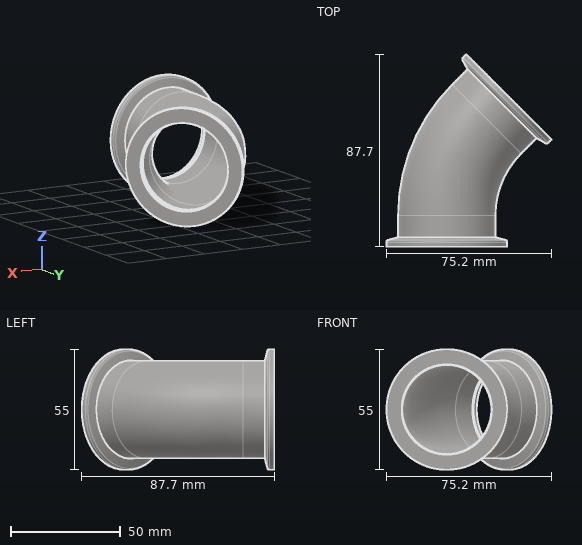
import cadquery as cq
import math

BEND_ANGLE = 45.0
LEG_LENGTH = 40.0
FLANGE_DIAMETER = 55.0
PIPE_OUTER_DIAMETER = 44.5
PIPE_INNER_DIAMETER = 40.5
STRAIGHT_END = 14.3

MOUTH_DIAMETER = 41.2
MOUTH_DEPTH = 2.45
SOCKET_DIAMETER = 44.7
SOCKET_DEPTH = 3.3
FLANGE_HEIGHT = 4.4
BEVEL_ANGLE = 15.0
RIM_FILLET = 1.05

FLANGE_RADIUS = FLANGE_DIAMETER / 2
SOCKET_RADIUS = SOCKET_DIAMETER / 2
MOUTH_RADIUS = MOUTH_DIAMETER / 2
BORE_RADIUS = PIPE_INNER_DIAMETER / 2
BEVEL_DROP = (FLANGE_RADIUS - SOCKET_RADIUS) * math.tan(math.radians(BEVEL_ANGLE))
RIM_HEIGHT = FLANGE_HEIGHT - BEVEL_DROP

TANGENT_LENGTH = LEG_LENGTH - STRAIGHT_END
BEND_RADIUS = TANGENT_LENGTH / math.tan(math.radians(BEND_ANGLE / 2))
PIPE_STRAIGHT = STRAIGHT_END - SOCKET_DEPTH

FACE_CENTERS = [
    cq.Vector(0, 0, 0),
    cq.Vector(
        LEG_LENGTH * math.sin(math.radians(BEND_ANGLE)),
        LEG_LENGTH * (1 + math.cos(math.radians(BEND_ANGLE))),
        0,
    ),
]
INWARD_DIRECTIONS = [
    cq.Vector(0, 1, 0),
    cq.Vector(-math.sin(math.radians(BEND_ANGLE)), -math.cos(math.radians(BEND_ANGLE)), 0),
]


def face_plane(center, inward, offset=0.0):
    """Plane across the pipe axis, moved inward from a flange face by offset."""
    return cq.Plane(origin=center + inward * offset, xDir=(0, 0, 1), normal=inward)


def pipe_section(plane):
    """Annular cross-section of the pipe."""
    return cq.Workplane(plane).circle(PIPE_OUTER_DIAMETER / 2).circle(BORE_RADIUS)


def make_flange(center, inward):
    """Bevelled clamp flange with a socket whose floor the pipe end rests on."""
    profile = (
        cq.Workplane("XY")
        .moveTo(MOUTH_RADIUS, 0)
        .lineTo(FLANGE_RADIUS, 0)
        .lineTo(FLANGE_RADIUS, RIM_HEIGHT)
        .lineTo(SOCKET_RADIUS, FLANGE_HEIGHT)
        .lineTo(SOCKET_RADIUS, SOCKET_DEPTH)
        .lineTo(BORE_RADIUS, SOCKET_DEPTH)
        .lineTo(BORE_RADIUS, MOUTH_DEPTH)
        .lineTo(MOUTH_RADIUS, MOUTH_DEPTH)
        .close()
    )
    ring = profile.revolve(360, (0, 0, 0), (0, 1, 0))
    rim_edge = cq.selectors.RadiusNthSelector(-1)
    ring = ring.faces("%CONE").edges(rim_edge).fillet(RIM_FILLET)
    turn = math.degrees(math.atan2(inward.y, inward.x)) - 90
    return ring.rotate((0, 0, 0), (0, 0, 1), turn).translate(center)


def make_pipe():
    """Bent pipe with a straight length at each end."""
    inlet_plane, outlet_plane = [
        face_plane(center, inward, SOCKET_DEPTH)
        for center, inward in zip(FACE_CENTERS, INWARD_DIRECTIONS)
    ]
    inlet = pipe_section(inlet_plane).extrude(PIPE_STRAIGHT)
    outlet = pipe_section(outlet_plane).extrude(PIPE_STRAIGHT)
    bend_plane = face_plane(FACE_CENTERS[0], INWARD_DIRECTIONS[0], STRAIGHT_END)
    bend = pipe_section(bend_plane).revolve(BEND_ANGLE, (0.9, BEND_RADIUS, 0), (0, BEND_RADIUS, 0))
    return inlet.union(bend).union(outlet)


pipe = make_pipe()
flanges = [make_flange(center, inward) for center, inward in zip(FACE_CENTERS, INWARD_DIRECTIONS)]

result = cq.Compound.makeCompound([pipe.val(), *[flange.val() for flange in flanges]])